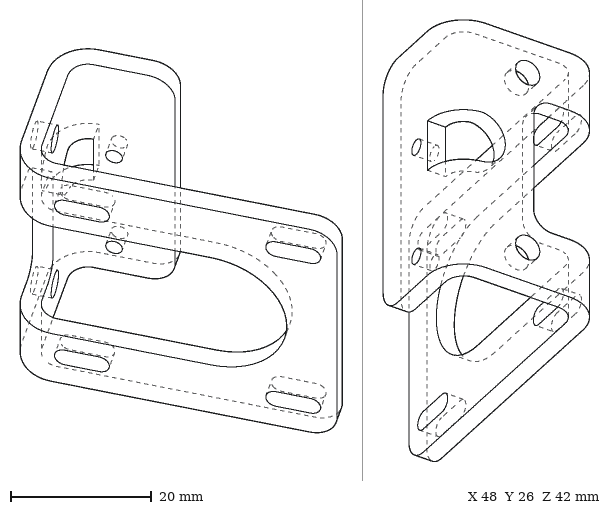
import cadquery as cq

length = 48.0
depth = 26.0
height = 42.0
thickness = 3.0
bend_radius = 6.0
flange_length = 18.0
corner_radius = 4.05

window_height = 22.2
window_arc_x = 29.5
wall_window_depth = 12.0
wall_window_corner = 3.0

slot_length = 8.05
slot_width = 3.0
slot_x_positions = (10.5, 41.55)
slot_z = 15.5

wall_hole_diameter = 4.05
wall_hole_z = 15.0
flange_hole_diameter = 2.45
flange_hole_x = 9.0
flange_hole_z_positions = (2.8, -16.0)

notch_width = 8.5
notch_depth = 9.25
notch_z = 1.3


def sheet():
    """Bent sheet with rounded bends and rounded free corners."""
    outer = (
        cq.Workplane("XY")
        .box(length, depth, height, centered=(False, False, True))
        .edges("|Z and <X")
        .fillet(bend_radius)
    )
    inner = (
        cq.Workplane("XY")
        .box(length, depth - 2 * thickness, height, centered=(False, False, True))
        .edges("|Z and <X")
        .fillet(bend_radius - thickness)
        .translate((thickness, thickness, 0))
    )
    beyond_flange = (
        cq.Workplane("XY")
        .box(length, depth, height, centered=(False, False, True))
        .translate((flange_length, thickness, 0))
    )
    body = outer.cut(inner).cut(beyond_flange)
    free_corners = body.edges("|Y").filter(lambda edge: edge.Center().x > bend_radius)
    return free_corners.fillet(corner_radius)


def front_window():
    """D-shaped opening in the front plate, open towards the side wall."""
    half = window_height / 2
    return (
        cq.Workplane("XZ")
        .moveTo(0, -half)
        .lineTo(window_arc_x, -half)
        .threePointArc((window_arc_x + half, 0), (window_arc_x, half))
        .lineTo(0, half)
        .close()
        .extrude(-thickness)
    )


def wall_window():
    """Opening through the side wall and front bend, rounded at its inner corners."""
    return (
        cq.Workplane("XY")
        .box(bend_radius, wall_window_depth, window_height, centered=(False, False, True))
        .edges("|X and >Y")
        .fillet(wall_window_corner)
    )


def front_slots():
    centers = [(x, z) for x in slot_x_positions for z in (-slot_z, slot_z)]
    return (
        cq.Workplane("XZ")
        .pushPoints(centers)
        .slot2D(slot_length, slot_width)
        .extrude(-thickness)
    )


def wall_holes():
    return (
        cq.Workplane("YZ")
        .pushPoints([(depth / 2, -wall_hole_z), (depth / 2, wall_hole_z)])
        .circle(wall_hole_diameter / 2)
        .extrude(thickness)
    )


def flange_holes():
    return (
        cq.Workplane("XZ", origin=(0, depth - thickness, 0))
        .pushPoints([(flange_hole_x, z) for z in flange_hole_z_positions])
        .circle(flange_hole_diameter / 2)
        .extrude(-thickness)
    )


def back_notch():
    """Notch from the back face, with a full-round end in the side wall."""
    half = notch_width / 2
    arc_y = depth - notch_depth + half
    return (
        cq.Workplane("YZ", origin=(0, 0, notch_z))
        .moveTo(depth, -half)
        .lineTo(arc_y, -half)
        .threePointArc((arc_y - half, 0), (arc_y, half))
        .lineTo(depth, half)
        .close()
        .extrude(bend_radius)
    )


result = sheet()
for opening in (
    front_window(),
    wall_window(),
    front_slots(),
    wall_holes(),
    flange_holes(),
    back_notch(),
):
    result = result.cut(opening)